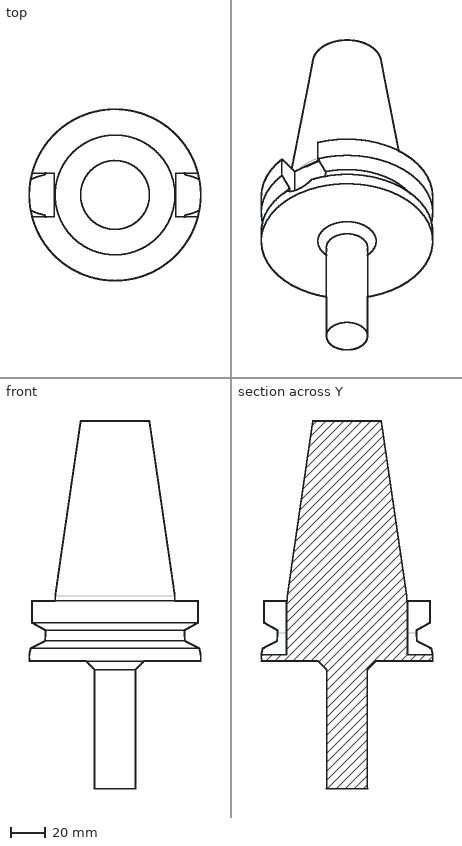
import cadquery as cq
import math


gauge_diameter = 69.85
taper_length = 101.8
taper_ratio = 7 / 24
taper_tip_diameter = gauge_diameter - taper_ratio * taper_length

flange_diameter = 100.0
flange_top = -3.0
flange_bottom = -38.0

groove_core_diameter = 85.0
groove_center = -23.2
groove_mouth_width = 14.9
groove_side_angle = 30.0

slot_width = 25.4
slot_floor_distance = 35.3
slot_bottom = -34.3

shank_diameter = 24.0
nose_end = -112.5
neck_diameter = 34.0
neck_height = 5.0


def make_body():
    """Revolve the half profile of the holder about the Z axis."""
    flange_radius = flange_diameter / 2
    core_radius = groove_core_diameter / 2
    gauge_radius = gauge_diameter / 2
    shank_radius = shank_diameter / 2
    mouth_half = groove_mouth_width / 2
    side_height = (flange_radius - core_radius) * math.tan(math.radians(groove_side_angle))
    core_half = mouth_half - side_height
    profile = [
        (0, nose_end),
        (shank_radius, nose_end),
        (shank_radius, flange_bottom - neck_height),
        (neck_diameter / 2, flange_bottom),
        (flange_radius, flange_bottom),
        (flange_radius, groove_center - mouth_half),
        (core_radius, groove_center - core_half),
        (core_radius, groove_center + core_half),
        (flange_radius, groove_center + mouth_half),
        (flange_radius, flange_top),
        (gauge_radius, flange_top),
        (gauge_radius, 0),
        (taper_tip_diameter / 2, taper_length),
        (0, taper_length),
    ]
    return cq.Workplane("XZ").polyline(profile).close().revolve(360, (0, 0, 0), (0, 1, 0))


def make_slot_cutter(side):
    """Round-bottomed slot, open at the top and rim, on the +X (1) or -X (-1) side."""
    half_width = slot_width / 2
    round_center = slot_bottom + half_width
    return (
        cq.Workplane("YZ", origin=(side * slot_floor_distance, 0, 0))
        .moveTo(-half_width, 0)
        .lineTo(-half_width, round_center)
        .threePointArc((0, slot_bottom), (half_width, round_center))
        .lineTo(half_width, 0)
        .close()
        .extrude(side * flange_diameter / 2)
    )


result = make_body()
for slot_side in (-1, 1):
    result = result.cut(make_slot_cutter(slot_side))